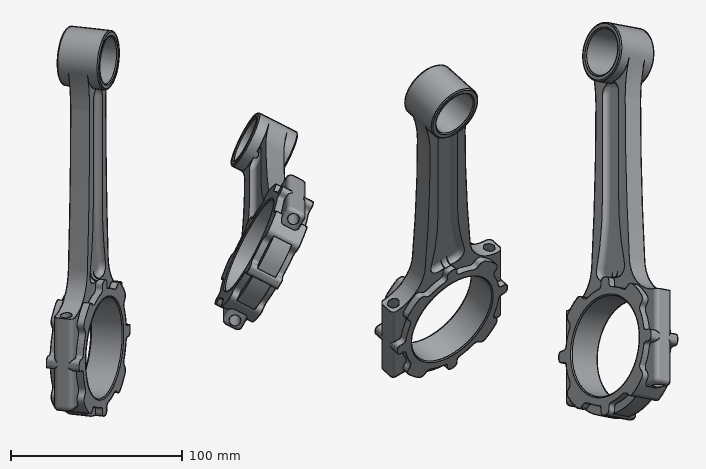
import cadquery as cq
import math

TOTAL_LENGTH = 234.7
BORE_CHAMFER = 0.7

CRANK_BORE_RADIUS = 60.0 / 2
CRANK_WIDTH = 20.7
CRANK_RADIUS = 41.3
RIM_RADIUS = 35.2
LUG_WIDTH = 7.0
LUG_FILLET = 2.5
PAD_WIDTH = 17.4
PAD_FILLET = 3.8

PIN_BORE_RADIUS = 28.0 / 2
PIN_END_RADIUS = 35.0 / 2
PIN_END_WIDTH = 26.0
PIN_END_CHAMFER = 0.7
PIN_AXIS_Z = TOTAL_LENGTH - CRANK_RADIUS - PIN_END_RADIUS

BODY_WIDTH = 12.0
CAP_RADIUS = 40.5
BOSS_HALF_HEIGHT = 28.5
BOSS_FILLET = 2.8
BOLT_HOLE_DIA = 6.8
BOLT_SPACING = 71.8
SHANK_HEAD = (13.1, 148.0)
SHANK_FOOT = (17.0, 50.2)
SHOULDER_BEND = (24.5, 34.5)

POCKET_DEPTH = 3.5
POCKET_FLOOR_X = BODY_WIDTH / 2 - POCKET_DEPTH
POCKET_FLOOR_FILLET = 3.3
POCKET_TOP_RADIUS = 7.3
POCKET_TOP_Z = 151.6
POCKET_FLARE_Z = 89.2
POCKET_BOTTOM_Z = 41.0
POCKET_BOTTOM_HALF_WIDTH = 14.5
POCKET_CORNER_FILLET = 5.9

LUG_BLEND_RADIUS = 4.0
LUG_BLEND_WIDTH = 4.2


def cylinder_x(radius, width, z=0.0):
    """Cylinder along X, centred on X = 0."""
    return cq.Workplane("YZ", origin=(-width / 2, 0, z)).circle(radius).extrude(width)


def flat_body():
    """Flat plate from the cap to the pin end, with rounded bolt bosses."""
    head_y, head_z = SHANK_HEAD
    head_below_pin = PIN_AXIS_Z - head_z
    flare_radius = (head_y**2 + head_below_pin**2 - PIN_END_RADIUS**2) / (2 * (PIN_END_RADIUS - head_y))
    flare_centre_y = head_y + flare_radius
    flare_angle = math.atan2(head_below_pin, flare_centre_y)

    def flare_point(angle):
        return (flare_centre_y - flare_radius * math.cos(angle), head_z + flare_radius * math.sin(angle))

    flare_top = flare_point(flare_angle)
    cap_corner_y = math.sqrt(CAP_RADIUS**2 - BOSS_HALF_HEIGHT**2)
    cap_mid_angle = math.atan2(cap_corner_y, BOSS_HALF_HEIGHT) / 2
    cap_mid = (CAP_RADIUS * math.sin(cap_mid_angle), -CAP_RADIUS * math.cos(cap_mid_angle))

    plate = (
        cq.Workplane("YZ", origin=(-BODY_WIDTH / 2, 0, 0))
        .moveTo(0, flare_top[1])
        .lineTo(*flare_top)
        .threePointArc(flare_point(flare_angle / 2), SHANK_HEAD)
        .tangentArcPoint(SHANK_FOOT, relative=False)
        .tangentArcPoint(SHOULDER_BEND, relative=False)
        .tangentArcPoint((CRANK_RADIUS, BOSS_HALF_HEIGHT), relative=False)
        .lineTo(CRANK_RADIUS, -BOSS_HALF_HEIGHT)
        .lineTo(cap_corner_y, -BOSS_HALF_HEIGHT)
        .threePointArc(cap_mid, (0, -CAP_RADIUS))
        .mirrorY()
        .extrude(BODY_WIDTH)
    )
    plate = plate.edges("|Z").fillet(BOSS_FILLET)
    return plate.faces("-Z").edges("|Y").fillet(BOSS_FILLET)


def shank_pocket():
    """Cutter for the recess on the +X face, with a rounded floor edge."""
    return (
        cq.Workplane("YZ", origin=(POCKET_FLOOR_X, 0, 0))
        .moveTo(0, POCKET_TOP_Z + POCKET_TOP_RADIUS)
        .radiusArc((POCKET_TOP_RADIUS, POCKET_TOP_Z), POCKET_TOP_RADIUS)
        .lineTo(POCKET_TOP_RADIUS, POCKET_FLARE_Z)
        .tangentArcPoint((POCKET_BOTTOM_HALF_WIDTH, POCKET_BOTTOM_Z), relative=False)
        .lineTo(0, POCKET_BOTTOM_Z)
        .mirrorY()
        .extrude(2 * POCKET_DEPTH)
        .edges("|X and <Z")
        .fillet(POCKET_CORNER_FILLET)
        .faces("<X")
        .edges()
        .fillet(POCKET_FLOOR_FILLET)
    )


def lug_blend():
    """Concave wedge on the +X side between the top lug's tip and the recess floor."""
    outer_x = POCKET_FLOOR_X + LUG_BLEND_RADIUS
    top_z = CRANK_RADIUS + LUG_BLEND_RADIUS
    return (
        cq.Workplane("XZ", origin=(0, LUG_BLEND_WIDTH / 2, 0))
        .moveTo(0, RIM_RADIUS)
        .lineTo(outer_x, RIM_RADIUS)
        .lineTo(outer_x, CRANK_RADIUS)
        .radiusArc((POCKET_FLOOR_X, top_z), LUG_BLEND_RADIUS)
        .lineTo(0, top_z)
        .close()
        .extrude(LUG_BLEND_WIDTH)
    )


def crank_rim():
    """Rim with four narrow lugs and, between them, four wide pads, all rounded."""
    rim = cylinder_x(RIM_RADIUS, CRANK_WIDTH)
    for width, first_angle in ((LUG_WIDTH, 0), (PAD_WIDTH, 45)):
        bar = cq.Workplane("XY").box(CRANK_WIDTH, width, 3 * CRANK_RADIUS)
        for angle in (first_angle, first_angle + 90):
            rim = rim.union(bar.rotate((0, 0, 0), (1, 0, 0), angle))
    rim = rim.intersect(cylinder_x(CRANK_RADIUS, CRANK_WIDTH))

    def is_lug_edge(edge):
        centre = edge.Center()
        return min(abs(centre.y), abs(centre.z)) < LUG_WIDTH

    corners = rim.edges("|X").vals()
    lug_edges = [edge for edge in corners if is_lug_edge(edge)]
    pad_edges = [edge for edge in corners if not is_lug_edge(edge)]
    rim = rim.newObject(pad_edges).fillet(PAD_FILLET)
    return rim.newObject(lug_edges).fillet(LUG_FILLET)


def pin_end():
    return cylinder_x(PIN_END_RADIUS, PIN_END_WIDTH, PIN_AXIS_Z).edges("%CIRCLE").chamfer(PIN_END_CHAMFER)


def cut_bore(rod, radius, width, z):
    """Cut a bore along X and chamfer both of its ends."""
    rod = rod.cut(cylinder_x(radius, width, z))
    rims = [edge for edge in rod.edges("%CIRCLE").vals() if math.isclose(edge.radius(), radius)]
    return rod.newObject(rims).chamfer(BORE_CHAMFER)


def bolt_holes():
    """Through holes along Z, one in each bolt boss."""
    return (
        cq.Workplane("XY", origin=(0, 0, -CRANK_RADIUS))
        .rarray(2.3, BOLT_SPACING, 1, 2)
        .circle(BOLT_HOLE_DIA / 2)
        .extrude(2 * CRANK_RADIUS)
    )


pocket = shank_pocket()
blend = lug_blend()

result = flat_body().cut(pocket).cut(pocket.mirror("YZ"))
result = result.union(blend).union(blend.mirror("YZ"))
result = result.union(crank_rim()).union(pin_end())
result = cut_bore(result, CRANK_BORE_RADIUS, CRANK_WIDTH, 0)
result = cut_bore(result, PIN_BORE_RADIUS, PIN_END_WIDTH, PIN_AXIS_Z)
result = result.cut(bolt_holes())